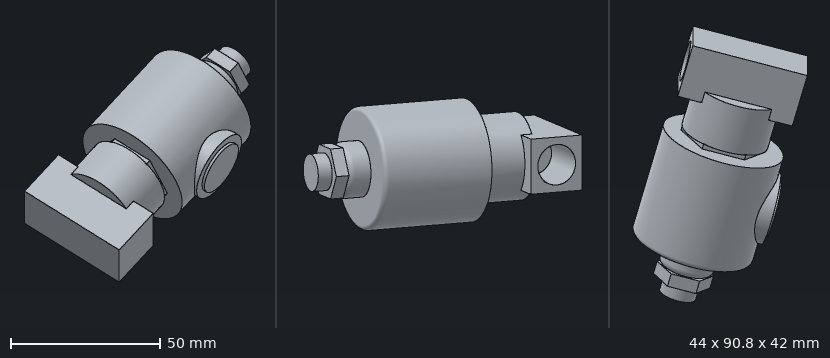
import cadquery as cq
import math


block_width = 40.0
block_side = 18.9
port_diameter = 13.8
port_depth = block_width / 2
shank_diameter = 30.0
shank_start = 14.9
shank_end = 31.7
collar_flats = 25.5
collar_length = 1.9

barrel_diameter = 42.0
barrel_length = 39.3
barrel_fillet = 1.6
neck_diameter = 19.1
neck_length = 8.2
neck_fillet = 2.3
nut_flats = 17.2
nut_length = 4.6
stem_diameter = 12.7
overall_length = 90.85

boss_diameter = 24.9
boss_reach = 22.0
spigot_diameter = 18.9
spigot_reach = 23.0
boss_y = 52.8

barrel_start = shank_end + collar_length
neck_start = barrel_start + barrel_length
nut_start = neck_start + neck_length
stem_start = nut_start + nut_length


def plane_at(y):
    """Plane across the main axis, facing +Y."""
    return cq.Workplane(cq.Plane(origin=(0, y, 0), xDir=(1, 0, 0), normal=(0, 1, 0)))


def cylinder_along_y(diameter, start, length):
    return plane_at(start).circle(diameter / 2).extrude(length)


def hexagon_along_y(across_flats, start, length):
    """Hexagonal prism with two corners on the X axis."""
    across_corners = across_flats / math.cos(math.pi / 6)
    return plane_at(start).polygon(6, across_corners).extrude(length)


def side_cylinder(diameter, reach):
    """Cylinder from the main axis out along +X."""
    return cq.Workplane("YZ").center(boss_y, 0).circle(diameter / 2).extrude(reach)


def make_housing():
    barrel = cylinder_along_y(barrel_diameter, barrel_start, barrel_length)
    barrel = barrel.faces(">Y").edges().fillet(barrel_fillet)
    neck = cylinder_along_y(neck_diameter, neck_start, neck_length)
    neck = neck.faces(">Y").edges().fillet(neck_fillet)
    nut = hexagon_along_y(nut_flats, nut_start, nut_length)
    stem = cylinder_along_y(stem_diameter, stem_start, overall_length - stem_start)
    boss = side_cylinder(boss_diameter, boss_reach)
    spigot = side_cylinder(spigot_diameter, spigot_reach)
    return barrel.union(neck).union(nut).union(stem).union(boss).union(spigot)


def make_elbow_fitting():
    block = cq.Workplane("XY").box(block_width, block_side, block_side)
    block = block.translate((0, block_side / 2, 0))
    shank = cylinder_along_y(shank_diameter, shank_start, shank_end - shank_start)
    collar = hexagon_along_y(collar_flats, shank_end, collar_length)
    port = (
        cq.Workplane("YZ", origin=(-block_width / 2, block_side / 2, 0))
        .circle(port_diameter / 2)
        .extrude(port_depth)
    )
    return block.union(shank).union(collar).cut(port)


housing = make_housing()
elbow_fitting = make_elbow_fitting()

result = cq.Compound.makeCompound([housing.val(), elbow_fitting.val()])